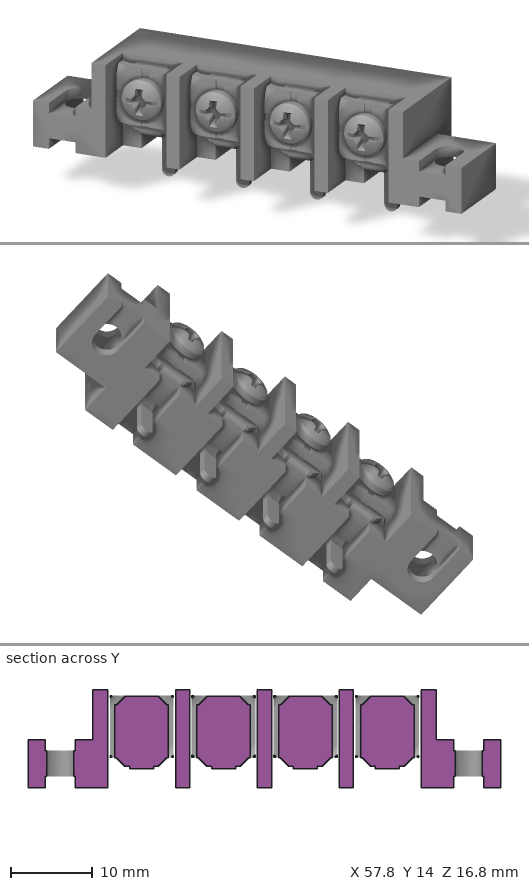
import cadquery as cq
import math


TOTAL_LENGTH = 57.8
HOUSING_DEPTH = 14.0
HOUSING_HEIGHT = 12.0
POLE_COUNT = 4
POLE_PITCH = 10.0
BARRIER_WIDTH = 1.8
END_WALL = 1.9
POCKET_WIDTH = POLE_PITCH - BARRIER_WIDTH
POCKET_DEPTH = 5.0
POLE_X = [(index - (POLE_COUNT - 1) / 2) * POLE_PITCH for index in range(POLE_COUNT)]
HOUSING_LENGTH = POLE_COUNT * POLE_PITCH - BARRIER_WIDTH + 2 * END_WALL

EAR_LENGTH = (TOTAL_LENGTH - HOUSING_LENGTH) / 2
EAR_DEPTH = 10.0
EAR_HEIGHT = 5.95
EAR_HOLE_DIAMETER = 3.6
EAR_SLOT_DEPTH = 1.4
EAR_HOLE_X = (TOTAL_LENGTH - EAR_LENGTH) / 2

NOTCH_WIDTH = 3.25
NOTCH_HEIGHT = 2.6

SHEET = 0.85
PLATE_WIDTH = 7.85
PLATE_EDGE_CHAMFER = 0.7
PLATE_TIP_WIDTH = 4.05
PLATE_TIP_SHOULDER = 1.05
PLATE_TOP = 11.2
STRIP_WIDTH = 3.0
STRIP_BOTTOM = 1.95
BEND_INSIDE = 0.7
PIN_WIDTH = 1.8
PIN_BACK = 10.25
PIN_LENGTH = 4.8

SCREW_Z = 7.5
WASHER_WIDTH = 7.8
WASHER_HEIGHT = 7.6
WASHER_FRONT = 2.7
WASHER_THICKNESS = 1.15
WASHER_CORNER = 1.7
WASHER_CORNER_RADIUS = 1.4
GROOVE_WIDTH = 1.05
GROOVE_DEPTH = 0.2

HEAD_RADIUS = 5.3 / 2
HEAD_FRONT = 0.5
DOME_RADIUS = 2.35
DOME_BACK = 1.2
RIM_FRONT = 1.55
RIM_CHAMFER = 0.25
SHANK_DIAMETER = 2.0
SLOT_WIDTH = 0.7
SLOT_FLOOR = 1.5
RECESS_FLOOR = 2.25
RECESS_ARM_WIDTH = 1.0
RECESS_MOUTH = 3.75
RECESS_FLOOR_WIDTH = 2.1
CORE_MOUTH_DIAGONAL = 2.8
CORE_FLOOR_DIAGONAL = 1.85


def block(x_size, y_front, y_back, z_bottom, z_top):
    """Box centred on X = 0 between the given Y and Z limits."""
    box = cq.Workplane("XY").box(x_size, y_back - y_front, z_top - z_bottom, centered=False)
    return box.translate((-x_size / 2, y_front, z_bottom))


def make_ear():
    """Right-hand ear whose screw hole opens forwards at top and bottom, and backwards in between."""
    ear = block(EAR_LENGTH, 0, EAR_DEPTH, 0, EAR_HEIGHT)
    hole_y = EAR_DEPTH / 2
    web_top = EAR_HEIGHT - EAR_SLOT_DEPTH
    hole = cq.Workplane("XY").center(0, hole_y).circle(EAR_HOLE_DIAMETER / 2).extrude(EAR_HEIGHT)
    lower_slot = block(EAR_HOLE_DIAMETER, 0, hole_y, 0, EAR_SLOT_DEPTH)
    upper_slot = block(EAR_HOLE_DIAMETER, 0, hole_y, web_top, EAR_HEIGHT)
    rear_slot = block(EAR_HOLE_DIAMETER, hole_y, EAR_DEPTH, EAR_SLOT_DEPTH, web_top)
    for opening in (hole, lower_slot, upper_slot, rear_slot):
        ear = ear.cut(opening)
    return ear.translate((EAR_HOLE_X, 0, 0))


def make_housing():
    """Housing with a front pocket and a bottom notch for each pole, and an ear at both ends."""
    housing = block(HOUSING_LENGTH, 0, HOUSING_DEPTH, 0, HOUSING_HEIGHT)
    pocket = block(POCKET_WIDTH, 0, POCKET_DEPTH, 0, HOUSING_HEIGHT)
    notch = block(NOTCH_WIDTH, 0, HOUSING_DEPTH, 0, NOTCH_HEIGHT)
    opening = pocket.union(notch)
    for x in POLE_X:
        housing = housing.cut(opening.translate((x, 0, 0)))
    ear = make_ear()
    return housing.union(ear).union(ear.mirror("YZ"))


def make_terminal():
    """Sheet-metal terminal of one pole."""
    plate_front = POCKET_DEPTH - SHEET
    pin_front = PIN_BACK - SHEET
    strip_top = STRIP_BOTTOM + SHEET
    pin_top = STRIP_BOTTOM - BEND_INSIDE
    front_bend = NOTCH_HEIGHT - STRIP_BOTTOM

    half_tip = PLATE_TIP_WIDTH / 2
    half_neck = half_tip + PLATE_TIP_SHOULDER
    low_shoulder = NOTCH_HEIGHT + PLATE_TIP_SHOULDER
    high_shoulder = PLATE_TOP - PLATE_TIP_SHOULDER
    tongue = (
        cq.Workplane("XZ", origin=(0, POCKET_DEPTH, 0))
        .polyline(
            [
                (-half_tip, NOTCH_HEIGHT),
                (half_tip, NOTCH_HEIGHT),
                (half_neck, low_shoulder),
                (half_neck, high_shoulder),
                (half_tip, PLATE_TOP),
                (-half_tip, PLATE_TOP),
                (-half_neck, high_shoulder),
                (-half_neck, low_shoulder),
            ]
        )
        .close()
        .extrude(SHEET)
    )
    wings = block(PLATE_WIDTH, plate_front, POCKET_DEPTH, low_shoulder, high_shoulder)
    wings = wings.faces("<Y").edges("|Z").chamfer(PLATE_EDGE_CHAMFER)

    strip = (
        cq.Workplane("YZ", origin=(-STRIP_WIDTH / 2, 0, 0))
        .moveTo(plate_front, NOTCH_HEIGHT)
        .radiusArc((plate_front + front_bend, STRIP_BOTTOM), -front_bend)
        .lineTo(pin_front - BEND_INSIDE, STRIP_BOTTOM)
        .lineTo(pin_front - BEND_INSIDE, strip_top)
        .lineTo(plate_front, strip_top)
        .close()
        .extrude(STRIP_WIDTH)
    )

    bend_outside = BEND_INSIDE + SHEET
    bend = (
        cq.Workplane("YZ", origin=(-PIN_WIDTH / 2, 0, 0))
        .moveTo(pin_front - BEND_INSIDE, STRIP_BOTTOM)
        .radiusArc((pin_front, pin_top), BEND_INSIDE)
        .lineTo(PIN_BACK, pin_top)
        .radiusArc((pin_front - BEND_INSIDE, strip_top), -bend_outside)
        .close()
        .extrude(PIN_WIDTH)
    )
    half_pin = PIN_WIDTH / 2
    tip_start = half_pin - PIN_LENGTH
    pin = (
        cq.Workplane("XZ", origin=(0, PIN_BACK, 0))
        .moveTo(-half_pin, pin_top)
        .lineTo(-half_pin, tip_start)
        .threePointArc((0, -PIN_LENGTH), (half_pin, tip_start))
        .lineTo(half_pin, pin_top)
        .close()
        .extrude(SHEET)
    )
    return tongue.union(wings).union(strip).union(bend).union(pin)


def make_washer():
    """Cross-grooved rectangular washer with its four corners curving backwards."""
    half_height = WASHER_HEIGHT / 2
    back = WASHER_FRONT + WASHER_THICKNESS
    washer = block(WASHER_WIDTH, WASHER_FRONT, back, -half_height, half_height)
    envelope = block(WASHER_WIDTH, WASHER_FRONT, POCKET_DEPTH, -half_height, half_height)

    fold = ((WASHER_WIDTH + WASHER_HEIGHT) / 2 - WASHER_CORNER) / math.sqrt(2)
    fold_end = fold + WASHER_CORNER_RADIUS
    falloff = (
        cq.Workplane("XY", origin=(0, 0, -half_height))
        .moveTo(fold, WASHER_FRONT)
        .radiusArc((fold_end, WASHER_FRONT + WASHER_CORNER_RADIUS), -WASHER_CORNER_RADIUS)
        .lineTo(fold_end, WASHER_FRONT)
        .close()
        .extrude(WASHER_HEIGHT)
    )
    for angle in (45, 135, 225, 315):
        front_loss = falloff.rotate((0, 0, 0), (0, 1, 0), angle)
        back_gain = front_loss.translate((0, WASHER_THICKNESS, 0)).intersect(envelope)
        washer = washer.union(back_gain).cut(front_loss)

    for width, height in ((GROOVE_WIDTH, WASHER_HEIGHT), (WASHER_WIDTH, GROOVE_WIDTH)):
        groove = block(width, WASHER_FRONT, WASHER_FRONT + GROOVE_DEPTH, -height / 2, height / 2)
        rib = groove.translate((0, WASHER_THICKNESS, 0))
        washer = washer.union(rib).cut(groove)
    return washer.translate((0, 0, SCREW_Z))


def recess_arm(width):
    """Arm of the cross recess along X, with both ends sloping inwards to its floor."""
    half_mouth = RECESS_MOUTH / 2
    half_floor = RECESS_FLOOR_WIDTH / 2
    return (
        cq.Workplane("XY", origin=(0, 0, -width / 2))
        .polyline(
            [
                (-half_mouth, HEAD_FRONT),
                (half_mouth, HEAD_FRONT),
                (half_floor, RECESS_FLOOR),
                (-half_floor, RECESS_FLOOR),
            ]
        )
        .close()
        .extrude(width)
    )


def recess_core():
    """Centre of the cross recess: a square standing on its corner, narrowing to the floor."""
    return (
        cq.Workplane("XZ", origin=(0, HEAD_FRONT, 0))
        .polygon(4, CORE_MOUTH_DIAGONAL)
        .workplane(offset=HEAD_FRONT - RECESS_FLOOR)
        .polygon(4, CORE_FLOOR_DIAGONAL)
        .loft(ruled=True)
    )


def make_screw():
    """Pan-head screw with a cross recess and a straight slot, on the Y axis."""
    head_back = WASHER_FRONT + GROOVE_DEPTH
    dome_middle = (DOME_RADIUS / 2, HEAD_FRONT + (DOME_BACK - HEAD_FRONT) / 4)
    head = (
        cq.Workplane("XY")
        .moveTo(0, HEAD_FRONT)
        .threePointArc(dome_middle, (DOME_RADIUS, DOME_BACK))
        .lineTo(HEAD_RADIUS, RIM_FRONT)
        .lineTo(HEAD_RADIUS, WASHER_FRONT - RIM_CHAMFER)
        .lineTo(HEAD_RADIUS - RIM_CHAMFER, WASHER_FRONT)
        .lineTo(HEAD_RADIUS - RIM_CHAMFER, head_back)
        .lineTo(0, head_back)
        .close()
        .revolve(360, (0, 0, 0), (0, 1, 0))
    )
    slot = block(2 * HEAD_RADIUS, HEAD_FRONT, SLOT_FLOOR, -SLOT_WIDTH / 2, SLOT_WIDTH / 2)
    head = head.cut(slot)
    head = head.cut(recess_arm(SLOT_WIDTH))
    head = head.cut(recess_arm(RECESS_ARM_WIDTH).rotate((0, 0, 0), (0, 1, 0), 90))
    head = head.cut(recess_core())
    shank = cq.Workplane("XZ", origin=(0, POCKET_DEPTH, 0)).circle(SHANK_DIAMETER / 2)
    shank = shank.extrude(POCKET_DEPTH - head_back)
    return head.union(shank).translate((0, 0, SCREW_Z))


result = make_housing()
pole = make_terminal().union(make_washer()).union(make_screw())
for x in POLE_X:
    result = result.union(pole.translate((x, 0, 0)))